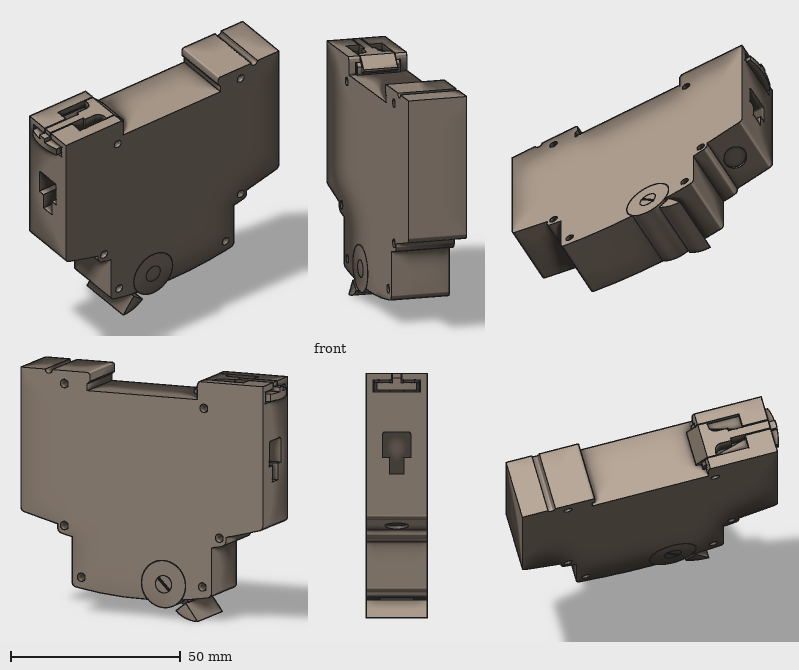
import cadquery as cq


width = 18.0
depth = 78.0
top_z = 72.0
mid_y = depth / 2
channel_depth = 5.45
channel_z = top_z - channel_depth
front_block_y = 21.15
block_bevel_y = 0.65
block_bevel_z = 1.0
block_bevel_radius = 1.5
lip_y = 55.75
lip_undercut_y = 56.6
lip_straight_z = 69.4
lip_undercut_z = 68.6
lip_radius = 0.9
corner_radius = 1.5
groove_y = 69.0
groove_radius = 1.15

shoulder_z = 29.0
ear_half = 27.15
ear_top_z = 25.9
ear_bottom_z = 23.5
foot_half = 22.5
foot_top_z = 22.4
foot_corner_z = 7.65
foot_bottom_z = 5.45
ear_radius = 1.7

rivet_diameter = 2.5
ear_rivet_half = 25.0
ear_rivet_z = 25.55
foot_rivet_half = 19.5
foot_rivet_z = 10.5
rivet_places = [(19.0, 64.1), (64.0, 68.1)]
for side in (-1, 1):
    rivet_places.append((mid_y + side * ear_rivet_half, ear_rivet_z))
    rivet_places.append((mid_y + side * foot_rivet_half, foot_rivet_z))

window_width = 8.3
window_top_z = 54.75
window_step_z = 47.2
window_stem_width = 4.15
window_bottom_z = 42.3
window_depth = 10.0
window_radius = 0.8

recess_diameter = 6.9
recess_y = 7.45
recess_depth = 1.0

well_width = 11.0
well_front_y = 7.8
tunnel_width = 13.9
tunnel_top_z = 70.1
slit_width = 3.1

head_width = 10.55
head_front_y = 17.6
nose_y = 23.9
nose_top_z = 68.5
nose_bottom_z = 67.9
nose_heel_z = 67.0
head_top_y = 20.4
wing_width = 13.3
wing_back_y = 22.15
wing_back_z = 69.05
neck_width = 4.0
neck_front_y = 12.2
neck_fillet = 2.2
stem_width = 2.4
tongue_length = 2.1
tongue_top_z = 70.65
plate_bottom_z = 67.1
plate_top_z = 69.3
flange_width = 11.7
flange_side_y = -1.1
relief_back_width = 8.8
relief_tip_width = 3.3
relief_tip_y = 8.0

rotor_y = 32.0
rotor_z = 10.4
rotor_radius = 7.05
rotor_clearance = 0.1
screw_radius = 2.6
screw_slot_width = 0.5
screw_slot_depth = 0.4
screw_slot_angle = -45
arm_width = 9.8
arm_thickness = 1.9
arm_offset = 0.4
arm_angle = 225
arm_reach = 9.2
blade_heel = (28.05, 2.8)
blade_shoulder = (24.85, 5.25)
blade_tip = (21.0, 0.0)
blade_belly = (24.95, 0.75)


def extrude_across(profile, size):
    """Extrude a YZ outline by size, centred on X = 0."""
    return profile.extrude(size).translate((-size / 2, 0, 0))


def block(size_x, y_range, z_range):
    """Box centred on X = 0 between two Y and two Z values."""
    return (
        cq.Workplane("XY")
        .box(size_x, y_range[1] - y_range[0], z_range[1] - z_range[0], centered=(True, False, False))
        .translate((0, y_range[0], z_range[0]))
    )


def round_edge(body, y, z, radius):
    """Fillet the X-parallel edge through (y, z)."""
    return body.edges("|X").edges(cq.selectors.NearestToPointSelector((0, y, z))).fillet(radius)


def mirrored_plan(points):
    """Points on the +X side, followed by their mirror images in reverse order."""
    return points + [(-x, y) for x, y in reversed(points)]


def plan_prism(points, z_range):
    return (
        cq.Workplane("XY", origin=(0, 0, z_range[0]))
        .polyline(mirrored_plan(points))
        .close()
        .extrude(z_range[1] - z_range[0])
    )


def housing_shell():
    profile = (
        cq.Workplane("YZ")
        .moveTo(0, top_z)
        .lineTo(front_block_y - block_bevel_y, top_z)
        .lineTo(front_block_y, top_z - block_bevel_z)
        .lineTo(front_block_y, channel_z)
        .lineTo(lip_undercut_y, channel_z)
        .lineTo(lip_undercut_y, lip_undercut_z)
        .lineTo(lip_y, lip_straight_z)
        .lineTo(lip_y, top_z)
        .lineTo(depth, top_z)
        .lineTo(depth, shoulder_z)
        .lineTo(mid_y + ear_half, ear_top_z)
        .lineTo(mid_y + ear_half, ear_bottom_z)
        .lineTo(mid_y + foot_half, foot_top_z)
        .lineTo(mid_y + foot_half, foot_corner_z)
        .threePointArc((mid_y, foot_bottom_z), (mid_y - foot_half, foot_corner_z))
        .lineTo(mid_y - foot_half, foot_top_z)
        .lineTo(mid_y - ear_half, ear_bottom_z)
        .lineTo(mid_y - ear_half, ear_top_z)
        .lineTo(0, shoulder_z)
        .close()
    )
    shell = extrude_across(profile, width)
    shell = round_edge(shell, lip_y, top_z, lip_radius)
    shell = round_edge(shell, front_block_y, top_z - block_bevel_z, block_bevel_radius)
    for half, z, radius in (
        (mid_y, shoulder_z, corner_radius),
        (ear_half, ear_bottom_z, ear_radius),
        (foot_half, foot_corner_z, corner_radius),
    ):
        for side in (-1, 1):
            shell = round_edge(shell, mid_y + side * half, z, radius)
    return shell


def switch_window():
    opening = block(window_width, (0, window_depth), (window_step_z, window_top_z))
    opening = opening.edges("|Y and >Z").fillet(window_radius)
    return opening.union(block(window_stem_width, (0, window_depth), (window_bottom_z, window_step_z)))


def terminal_recess():
    fall = shoulder_z - ear_top_z
    run = mid_y - ear_half
    inward = cq.Vector(0, fall, run)
    face_centre = cq.Vector(0, recess_y, shoulder_z - fall * recess_y / run)
    return cq.Workplane(cq.Solid.makeCylinder(recess_diameter / 2, recess_depth, face_centre, inward))


def make_housing():
    body = housing_shell()
    rivets = cq.Workplane("YZ").pushPoints(rivet_places).circle(rivet_diameter / 2)
    body = body.cut(extrude_across(rivets, width))
    groove = cq.Workplane("YZ").center(groove_y, top_z).circle(groove_radius)
    body = body.cut(extrude_across(groove, width))
    body = body.cut(switch_window())

    body = body.cut(terminal_recess())
    body = body.cut(block(well_width, (well_front_y, front_block_y), (channel_z, top_z)))
    body = body.cut(block(tunnel_width, (0, front_block_y), (channel_z, tunnel_top_z)))
    body = body.cut(block(slit_width, (0, well_front_y), (channel_z, top_z)))

    rotor_bore = cq.Workplane("YZ").center(rotor_y, rotor_z).circle(rotor_radius + rotor_clearance)
    return body.cut(extrude_across(rotor_bore, width))


def latch_head():
    """Wedge head with a snap nose, narrowing to a filleted neck."""
    side_profile = (
        cq.Workplane("YZ")
        .moveTo(neck_front_y, channel_z)
        .lineTo(neck_front_y, top_z)
        .lineTo(head_top_y, top_z)
        .lineTo(nose_y, nose_top_z)
        .lineTo(nose_y, nose_bottom_z)
        .lineTo(wing_back_y, nose_heel_z)
        .lineTo(wing_back_y, channel_z)
        .close()
    )
    head_half = head_width / 2
    neck_half = neck_width / 2
    plan = [(head_half, nose_y), (head_half, head_front_y), (neck_half, head_front_y), (neck_half, neck_front_y)]
    outline = plan_prism(plan, (channel_z, top_z))
    for side in (-1, 1):
        corner = cq.selectors.NearestToPointSelector((side * neck_half, head_front_y, (channel_z + top_z) / 2))
        outline = outline.edges("|Z").edges(corner).fillet(neck_fillet)
    return extrude_across(side_profile, head_width).intersect(outline)


def latch_wings():
    """Side stops behind the front block, with sloping backs and plate-thick flares in front."""
    stop_profile = (
        cq.Workplane("YZ")
        .moveTo(front_block_y, channel_z)
        .lineTo(front_block_y, tunnel_top_z)
        .lineTo(wing_back_y, wing_back_z)
        .lineTo(wing_back_y, channel_z)
        .close()
    )
    flare = [
        (wing_width / 2, front_block_y),
        (head_width / 2, head_front_y),
    ]
    return extrude_across(stop_profile, wing_width).union(plan_prism(flare, (plate_bottom_z, plate_top_z)))


def latch_front_plan(plan_width, z_range):
    """Prism from the curved front edge back to the head, trimmed to plan_width."""
    half = flange_width / 2
    full = (
        cq.Workplane("XY", origin=(0, 0, z_range[0]))
        .moveTo(-half, head_front_y)
        .lineTo(-half, flange_side_y)
        .threePointArc((0, -tongue_length), (half, flange_side_y))
        .lineTo(half, head_front_y)
        .close()
        .extrude(z_range[1] - z_range[0])
    )
    return full.intersect(block(plan_width, (-tongue_length, head_front_y), z_range))


def make_latch():
    """Head and stem joined by a thin plate with a tapered relief on each side of the stem."""
    plate_range = (plate_bottom_z, plate_top_z)
    relief = [(relief_back_width / 2, head_front_y), (relief_tip_width / 2, relief_tip_y)]
    plate = latch_front_plan(flange_width, plate_range).cut(plan_prism(relief, plate_range))
    stem = block(stem_width, (0, neck_front_y), (plate_bottom_z, top_z))
    tongue = latch_front_plan(stem_width, (plate_bottom_z, tongue_top_z))
    return latch_head().union(latch_wings()).union(plate).union(stem).union(tongue).clean()


def rotor_disc(radius):
    return extrude_across(cq.Workplane("YZ").center(rotor_y, rotor_z).circle(radius), width)


def make_rotor():
    return rotor_disc(rotor_radius).cut(rotor_disc(screw_radius))


def make_screw():
    slot = (
        cq.Workplane("YZ", origin=(-width / 2, rotor_y, rotor_z))
        .transformed(rotate=(0, 0, screw_slot_angle))
        .rect(screw_slot_width, 2 * screw_radius)
        .extrude(screw_slot_depth)
    )
    return rotor_disc(screw_radius).cut(slot)


def make_lever():
    """Full-width curved blade on a narrower arm that meets the rotor rim."""
    blade = extrude_across(
        cq.Workplane("YZ")
        .moveTo(*blade_heel)
        .lineTo(*blade_shoulder)
        .lineTo(*blade_tip)
        .threePointArc(blade_belly, blade_heel)
        .close(),
        width,
    )
    arm = extrude_across(
        cq.Workplane("YZ", origin=(0, rotor_y, rotor_z))
        .transformed(rotate=(0, 0, arm_angle))
        .center(arm_reach / 2, arm_offset)
        .rect(arm_reach, arm_thickness),
        arm_width,
    )
    return blade.union(arm.cut(rotor_disc(rotor_radius)))


housing = make_housing()
latch = make_latch()
rotor = make_rotor()
screw = make_screw()
lever = make_lever()

result = cq.Compound.makeCompound([housing.val(), latch.val(), rotor.val(), screw.val(), lever.val()])